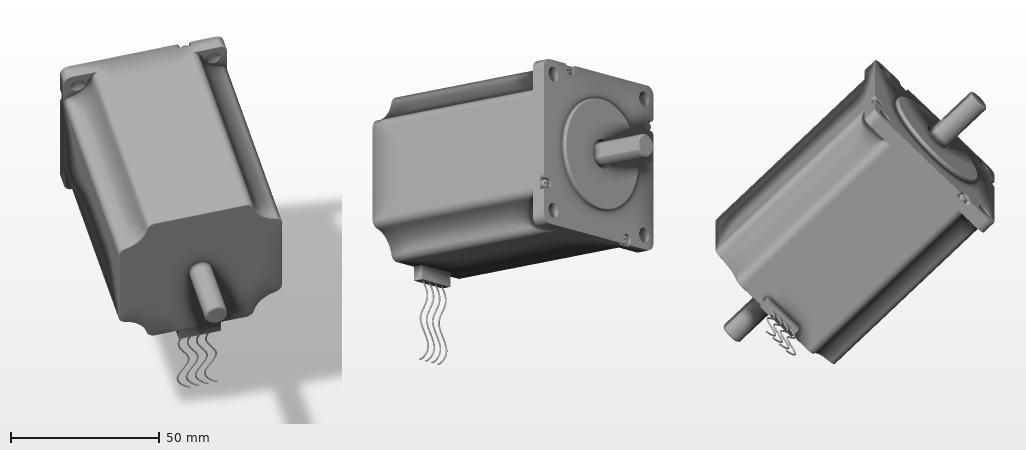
import cadquery as cq
import math


frame_width = 57.0
flange_thickness = 5.0
front_cap_end = 7.8
rear_cap_start = 66.8
motor_length = 76.0
rear_edge_fillet = 0.4

half_width = frame_width / 2
corner_scallop_radius = 10.0
scallop_edge_fillet = 3.0
flange_corner_radius = 3.0

pilot_diameter = 38.1
pilot_height = 1.7
pilot_edge_fillet = 0.5
shaft_recess_diameter = 10.0
shaft_recess_depth = 2.4
mount_hole_pitch = 47.2
mount_hole_diameter = 5.1

screw_side_offset = 14.8
screw_edge_distance = 1.9
notch_radius = 1.8
notch_flare_radius = 1.2
notch_depth = 1.8
screw_head_radius = 1.5
screw_head_height = 1.0
screw_dome_height = 0.6
screw_cross_length = 2.5
screw_cross_width = 0.7
screws_per_cap = 4

shaft_length = 118.0
shaft_radius = 4.0
shaft_front_extension = 21.0
shaft_flat_distance = 3.4
shaft_tip_chamfer = 0.5

connector_width = 14.8
connector_length = 3.5
connector_height = 5.0
connector_rear_inset = 0.6
wire_count = 4
wire_pitch = 3.2
wire_row_offset = 0.4
wire_radius = 0.3
overall_height = 89.6
wire_drop = overall_height - frame_width - connector_height


def slab(x_start, x_end, width):
    """Square block centred on the shaft axis."""
    return cq.Workplane("YZ", origin=(x_start, 0, 0)).rect(width, width).extrude(x_end - x_start)


def disc(x_start, x_end, radius):
    """Round block on the shaft axis."""
    return cq.Workplane("YZ", origin=(x_start, 0, 0)).circle(radius).extrude(x_end - x_start)


def scalloped_block(x_start, x_end):
    """Length of motor frame whose four corners are scooped out and blended into the sides."""
    scallops = (
        cq.Workplane("YZ", origin=(x_start, 0, 0))
        .rect(frame_width, frame_width, forConstruction=True)
        .vertices()
        .circle(corner_scallop_radius)
        .extrude(x_end - x_start)
    )
    block = slab(x_start, x_end, frame_width).cut(scallops)
    return block.edges("|X").fillet(scallop_edge_fillet)


def shaft_bore(x_start, x_end):
    return disc(x_start, x_end, shaft_radius)


def screw_notch():
    """Round screw pocket at the top flange edge, opening to that edge through flared sides."""
    flare_drop = screw_edge_distance - notch_flare_radius
    flare_center_distance = notch_radius + notch_flare_radius
    flare_side = math.sqrt(flare_center_distance**2 - flare_drop**2)
    tangent_ratio = notch_radius / flare_center_distance
    tangent_side = flare_side * tangent_ratio
    tangent_rise = flare_drop * tangent_ratio
    middle_angle = (math.pi / 2 + math.pi + math.atan2(flare_drop, flare_side)) / 2
    middle_side = flare_side + notch_flare_radius * math.cos(middle_angle)
    middle_rise = flare_drop + notch_flare_radius * math.sin(middle_angle)
    return (
        cq.Workplane("YZ", origin=(0, screw_side_offset, half_width - screw_edge_distance))
        .moveTo(-flare_side, screw_edge_distance)
        .threePointArc((-middle_side, middle_rise), (-tangent_side, tangent_rise))
        .threePointArc((0, -notch_radius), (tangent_side, tangent_rise))
        .threePointArc((middle_side, middle_rise), (flare_side, screw_edge_distance))
        .close()
        .extrude(notch_depth)
    )


def screw_head():
    """Domed screw head with a cross recess, standing on the floor of its notch."""
    dome_base = notch_depth - screw_head_height
    dome_top = dome_base - screw_dome_height
    dome_radius = (screw_head_radius**2 + screw_dome_height**2) / (2 * screw_dome_height)
    middle_radius = screw_head_radius / 2
    middle_x = dome_top + dome_radius - math.sqrt(dome_radius**2 - middle_radius**2)
    head = (
        cq.Workplane("XY")
        .moveTo(dome_top, 0)
        .threePointArc((middle_x, middle_radius), (dome_base, screw_head_radius))
        .lineTo(notch_depth, screw_head_radius)
        .lineTo(notch_depth, 0)
        .close()
        .revolve(360, (0, 0, 0), (1, 0, 0))
    )
    cross_arms = ((screw_cross_length, screw_cross_width), (screw_cross_width, screw_cross_length))
    for length, width in cross_arms:
        head = head.cut(cq.Workplane("YZ").rect(length, width).extrude(dome_base))
    return head.translate((0, screw_side_offset, half_width - screw_edge_distance))


def make_front_cap():
    flange = slab(0, flange_thickness, frame_width).edges("|X").fillet(flange_corner_radius)
    pilot = disc(-pilot_height, 0, pilot_diameter / 2).faces("<X").edges().fillet(pilot_edge_fillet)
    cap = flange.union(scalloped_block(flange_thickness, front_cap_end)).union(pilot)

    mount_holes = (
        cq.Workplane("YZ")
        .rect(mount_hole_pitch, mount_hole_pitch, forConstruction=True)
        .vertices()
        .circle(mount_hole_diameter / 2)
        .extrude(flange_thickness)
    )
    recess = disc(-pilot_height, shaft_recess_depth - pilot_height, shaft_recess_diameter / 2)
    cap = cap.cut(mount_holes).cut(recess).cut(shaft_bore(-pilot_height, front_cap_end))

    for index in range(screws_per_cap):
        angle = index * 360 / screws_per_cap
        cap = cap.cut(screw_notch().rotate((0, 0, 0), (1, 0, 0), angle))
        cap = cap.union(screw_head().rotate((0, 0, 0), (1, 0, 0), angle))
    return cap


def make_stator():
    return scalloped_block(front_cap_end, rear_cap_start).cut(shaft_bore(front_cap_end, rear_cap_start))


def make_rear_cap():
    cap = scalloped_block(rear_cap_start, motor_length)
    cap = cap.faces(">X").edges().fillet(rear_edge_fillet)
    return cap.cut(shaft_bore(rear_cap_start, motor_length))


def make_shaft():
    """Round shaft with chamfered tips and a flat on the +Y side of each protruding end."""
    front_tip = -shaft_front_extension
    rear_tip = front_tip + shaft_length
    shaft = disc(front_tip, rear_tip, shaft_radius).faces("<X or >X").edges().chamfer(shaft_tip_chamfer)
    recess_floor = shaft_recess_depth - pilot_height
    for x_start, x_end in ((front_tip, recess_floor), (motor_length, rear_tip)):
        flat_cut = cq.Workplane("XY").box(
            x_end - x_start, shaft_radius, 2 * shaft_radius, centered=(False, False, True)
        )
        shaft = shaft.cut(flat_cut.translate((x_start, shaft_flat_distance, 0)))
    return shaft


def make_wire(x, y, underside):
    """Wavy round wire in a YZ plane, rooted in the connector just above its underside."""
    root = (0.0, wire_radius)
    first_slope = (-1.7, -1.5)
    first_bend = (-2.6, -4.4)
    second_bend = (1.0, -13.0)
    third_bend = (-3.0, -22.3)
    last_slope = (-1.7, -25.0)
    tip = (1.4, wire_radius - wire_drop)
    path = cq.Workplane("YZ", origin=(x, y, underside)).spline(
        [root, first_slope, first_bend, second_bend, third_bend, last_slope, tip]
    )
    root_edge = path.val()
    root_plane = cq.Plane(origin=root_edge.startPoint(), xDir=(1, 0, 0), normal=root_edge.tangentAt(0))
    return cq.Workplane(root_plane).circle(wire_radius).sweep(path)


def make_leads():
    """Connector block under the rear cap, with its row of wires."""
    rear_face = motor_length - connector_rear_inset
    connector = cq.Workplane("XY").box(
        connector_length, connector_width, connector_height, centered=(False, True, False)
    )
    underside = -half_width - connector_height
    leads = connector.translate((rear_face - connector_length, 0, underside))
    for index in range(wire_count):
        wire_y = wire_row_offset + (index - (wire_count - 1) / 2) * wire_pitch
        leads = leads.union(make_wire(rear_face - connector_length / 2, wire_y, underside))
    return leads


front_cap = make_front_cap()
stator = make_stator()
rear_cap = make_rear_cap()
shaft = make_shaft()
leads = make_leads()

result = cq.Compound.makeCompound(
    [front_cap.val(), stator.val(), rear_cap.val(), shaft.val(), leads.val()]
)